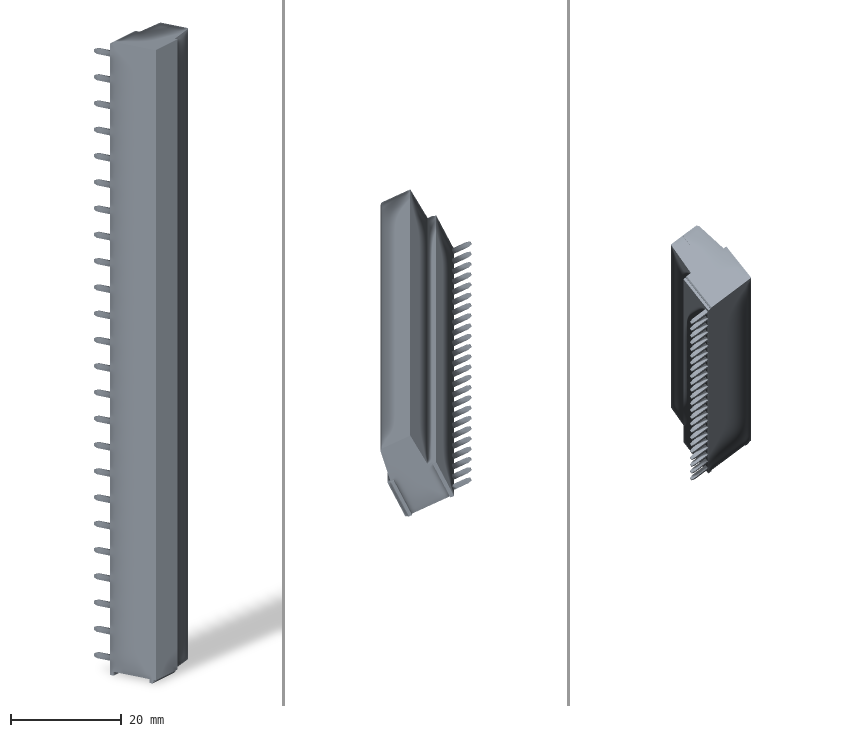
import cadquery as cq

total_length = 120.6
body_width = 9.8
base_depth = 7.4
total_depth = 13.7

head_left_base = 1.7
head_left_end = 2.0
head_right_base = 9.2
head_right_end = 8.2
corner_cut = 0.4

lip_height = 0.7
left_lip_width = 0.7
right_lip_start = 8.5
right_lip_end = 9.3
right_lip_chamfer = 0.2
rebate_height = 0.5
rebate_width = 0.5
rebate_chamfer = 0.2

slot_x = 4.7
slot_width = 0.06
slot_length = 2.2
slot_depth = 0.1

pin_count = 24
pin_row_span = 114.9
pin_top_margin = 2.5
pin_height = 1.0
pin_depth = 0.7
pin_front_gap = 0.1
pin_length = 3.6
pin_tip_length = 0.7
pin_tip_height = 0.5
pin_tip_depth = 0.5
pin_root = 1.2

housing_height = total_length - lip_height
pin_pitch = pin_row_span / (pin_count - 1)


def box(x_min, x_max, y_min, y_max, z_min, z_max):
    """Box given by its limits along each axis."""
    size = (x_max - x_min, y_max - y_min, z_max - z_min)
    return cq.Workplane("XY").box(*size, centered=False).translate((x_min, y_min, z_min))


def make_housing():
    """Base and tapered head, extruded along the row of pins."""
    outline = [
        (0, 0),
        (body_width, 0),
        (body_width, base_depth),
        (head_right_base, base_depth),
        (head_right_end, total_depth - corner_cut),
        (head_right_end - corner_cut, total_depth),
        (head_left_end, total_depth),
        (head_left_base, base_depth),
        (0, base_depth),
    ]
    base_plane = cq.Workplane("XY", origin=(0, 0, lip_height))
    return base_plane.polyline(outline).close().extrude(housing_height)


def make_lips():
    """Two lips under the bottom end that run across the base."""
    left_lip = box(0, left_lip_width, 0, base_depth, 0, lip_height)
    right_lip = box(right_lip_start, right_lip_end, 0, base_depth, 0, lip_height)
    right_lip = right_lip.edges("|Y and >X and <Z").chamfer(right_lip_chamfer)
    return left_lip.union(right_lip)


def make_rebate():
    """Step along the left edge of the top end of the base, with a chamfered inner edge."""
    profile = [
        (0, total_length - rebate_height),
        (rebate_width, total_length - rebate_height),
        (rebate_width, total_length - rebate_chamfer),
        (rebate_width + rebate_chamfer, total_length),
        (0, total_length),
    ]
    return cq.Workplane("XZ").polyline(profile).close().extrude(-base_depth)


def make_slot():
    """Thin slot that opens on the top end and the back of the head."""
    return box(
        slot_x - slot_width / 2, slot_x + slot_width / 2,
        total_depth - slot_length, total_depth,
        total_length - slot_depth, total_length,
    )


def make_pin(z_center):
    """Rectangular pin with a tapered tip that points toward -X."""
    y_center = pin_front_gap + pin_depth / 2
    shank_end = pin_tip_length - pin_length
    shank = box(
        shank_end, pin_root,
        y_center - pin_depth / 2, y_center + pin_depth / 2,
        z_center - pin_height / 2, z_center + pin_height / 2,
    )
    tip = (
        cq.Workplane("YZ", origin=(-pin_length, y_center, z_center))
        .rect(pin_tip_depth, pin_tip_height)
        .workplane(offset=pin_tip_length)
        .rect(pin_depth, pin_height)
        .loft(ruled=True)
    )
    return shank.union(tip)


result = make_housing().union(make_lips()).cut(make_rebate()).cut(make_slot())
for index in range(pin_count):
    result = result.union(make_pin(total_length - pin_top_margin - index * pin_pitch))